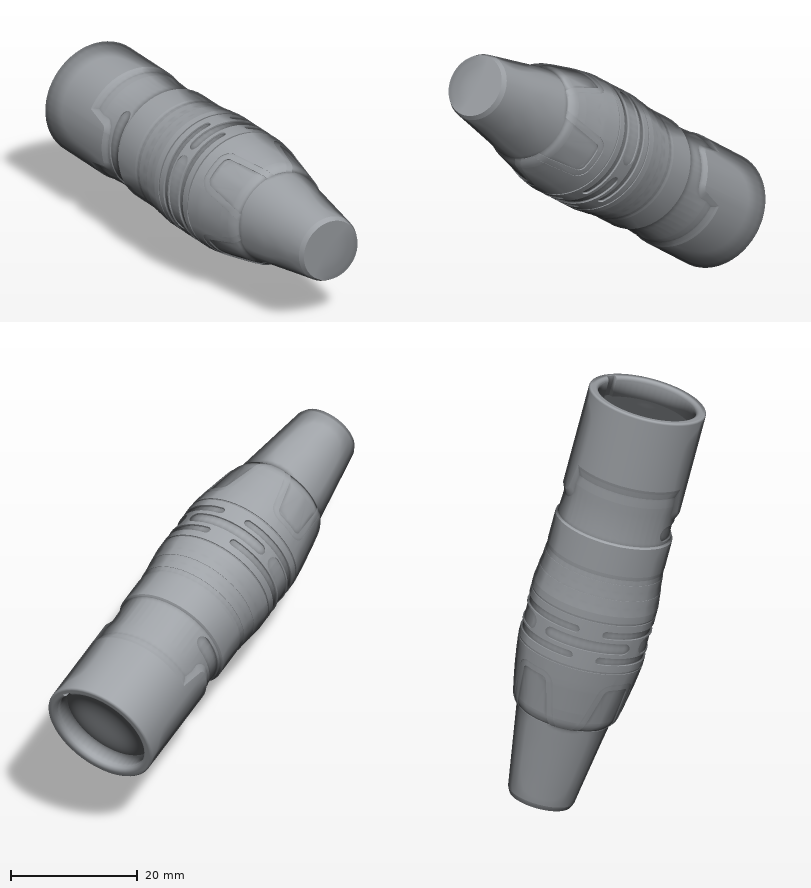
import cadquery as cq
import math


length = 69.65
cup_radius = 9.55
cup_end = 11.9
cup_end_round = 0.5
cup_end_drop = 0.15
cup_edge = 0.35
bore_radius = 8.0
bore_depth = 3.4
bore_round = 0.6
keyway_width = 1.8
keyway_radius = 8.65
keyway_angle = 45
tab_start = 8.35
tab_end = 18.05
tab_root_half_width = 6.2
tab_tip_half_width = 4.2
tab_corner_radius = 2.1
tab_flank_drop = 0.5
tab_flank_run = 1.1

waist_start = 13.4
waist_shoulder = 15.0
waist_shoulder_radius = 9.2
waist_middle_radius = 9.05
waist_end = 21.65

collar_start = 21.95
collar_straight_end = 26.8
collar_end = 27.45
collar_end_radius = 9.5
ring_starts = (28.3, 30.85)
ring_step = 0.1
first_ring_radius = 9.55
second_ring_radius = 9.8

band_middle = 39.1
band_radius = 10.2
band_half_length = 5.6
seam_offset = 4.05
seam_width = 0.35
seam_depth = 0.175

nose_middle = 48.05
nose_middle_radius = 9.55
nose_arc_end = 51.2
nose_arc_end_radius = 9.0
nose_end = 52.85
nose_end_radius = 8.65
ring_end = 54.6
ring_end_radius = 7.65
ring_bulge = 54.05
ring_bulge_radius = 8.15
boot_start_radius = 7.6
boot_end = 68.8
boot_end_radius = 5.4
boot_tip_radius = 5.0

slot_depth = 0.35
long_slot_offset = 2.2
long_slot_width = 1.25
long_slot_gap = 3.75
short_slot_width = 1.9
short_slot_length = 13.65
plate_length = 12.4
plate_rise = 0.4
band_plate_width = 2.65
waist_plate_middle = 19.9
waist_plate_width = 2.5
plate_depth = 0.2

window_count = 4
window_depth = 0.31
window_start = 46.45
window_front_half_width = 2.5
window_rear_half_width = 3.55
window_corner_radius = 1.05
rim_depth = 0.105
rim_width = 1.05

arc_middle = 1 - math.sqrt(0.5)

outside = 13.9


def revolve_about_axis(sketch):
    return sketch.close().revolve(360, (0, 0, 0), (1, 0, 0))


def cylinder(start, end, radius):
    return cq.Workplane("YZ", origin=(start, 0, 0)).circle(radius).extrude(end - start)


def turned_body():
    sketch = (
        cq.Workplane("XY")
        .moveTo(0, 0)
        .lineTo(0, cup_radius - cup_edge)
        .threePointArc(
            (cup_edge * arc_middle, cup_radius - cup_edge * arc_middle), (cup_edge, cup_radius)
        )
        .lineTo(cup_end, cup_radius)
        .lineTo(cup_end + cup_end_round, cup_radius - cup_end_drop)
        .lineTo(waist_start, waist_shoulder_radius)
        .lineTo(waist_shoulder, waist_shoulder_radius)
        .threePointArc(
            ((waist_shoulder + waist_end) / 2, waist_middle_radius), (waist_end, waist_shoulder_radius)
        )
        .lineTo(collar_start, cup_radius)
        .lineTo(collar_straight_end, cup_radius)
        .lineTo(collar_end, collar_end_radius)
        .lineTo(ring_starts[0], first_ring_radius)
        .lineTo(ring_starts[0], first_ring_radius + ring_step)
        .lineTo(ring_starts[1], second_ring_radius)
        .lineTo(ring_starts[1], second_ring_radius + ring_step)
        .lineTo(band_middle - band_half_length, band_radius)
        .lineTo(band_middle + seam_offset + seam_width, band_radius)
    )
    sketch = (
        sketch.threePointArc((nose_middle, nose_middle_radius), (nose_arc_end, nose_arc_end_radius))
        .lineTo(nose_end, nose_end_radius)
        .threePointArc((ring_bulge, ring_bulge_radius), (ring_end, ring_end_radius))
        .lineTo(ring_end, boot_start_radius)
        .lineTo(boot_end, boot_end_radius)
        .lineTo(length, boot_tip_radius)
        .lineTo(length, 0)
    )
    return revolve_about_axis(sketch)


def latch_tabs():
    """Two sloping-edged tabs that carry the cup surface back over the waist."""
    outline = (
        cq.Workplane("XZ")
        .polyline([
            (tab_start, -tab_root_half_width),
            (tab_end, -tab_tip_half_width),
            (tab_end, tab_tip_half_width),
            (tab_start, tab_root_half_width),
        ])
        .close()
        .extrude(outside)
        .edges("|Y and >X")
        .fillet(tab_corner_radius)
    )
    tab = outline.intersect(cylinder(cup_edge, waist_end, cup_radius))
    tab = tab.faces("<Y").edges("not(<X)").chamfer(tab_flank_drop, tab_flank_run)
    return tab.union(tab.mirror("XZ"))


def front_bore():
    mouth_radius = bore_radius + bore_round
    bore = revolve_about_axis(
        cq.Workplane("XY")
        .moveTo(0, 0)
        .lineTo(0, mouth_radius)
        .threePointArc(
            (bore_round * arc_middle, mouth_radius - bore_round * (1 - arc_middle)), (bore_round, bore_radius)
        )
        .lineTo(bore_depth, bore_radius)
        .lineTo(bore_depth, 0)
    )
    keyway = (
        cq.Workplane("XY")
        .box(bore_depth, keyway_radius, keyway_width, centered=(False, False, True))
        .rotate((0, 0, 0), (1, 0, 0), keyway_angle)
    )
    return bore.union(keyway)


def seam_groove(start):
    core = cylinder(start, start + seam_width, band_radius - seam_depth)
    return cylinder(start, start + seam_width, outside).cut(core)


def side_slot(middle, height, slot_length, width):
    """Round-ended prism reaching outward on the -Y side, long in Z."""
    return (
        cq.Workplane("XZ")
        .center(middle, height)
        .slot2D(slot_length, width, 90)
        .extrude(outside)
    )


def half_turn(body):
    return body.rotate((0, 0, 0), (1, 0, 0), 180)


def long_slots():
    """Slots that wrap around each side and stop short of the top and bottom."""
    end_centre = long_slot_gap / 2 + long_slot_width / 2
    slots = cq.Workplane("XY")
    for offset in (-long_slot_offset, long_slot_offset):
        middle = band_middle + offset
        band = cylinder(middle - long_slot_width / 2, middle + long_slot_width / 2, outside)
        bridge = (
            cq.Workplane("XY")
            .box(long_slot_width, 2 * end_centre, 2 * outside)
            .translate((middle, 0, 0))
        )
        ends = (
            cq.Workplane("XY", origin=(middle, 0, -outside))
            .pushPoints([(0, -end_centre), (0, end_centre)])
            .circle(long_slot_width / 2)
            .extrude(2 * outside)
        )
        slots = slots.add(band.cut(bridge).union(ends))
    return slots.combine()


def band_recesses():
    short_slot = side_slot(band_middle, 0, short_slot_length, short_slot_width)
    short_slot = short_slot.rotate((0, 0, 0), (1, 0, 0), 90)
    slot_core = cylinder(0, length, band_radius - slot_depth)
    slots = long_slots().union(short_slot).union(half_turn(short_slot)).cut(slot_core)
    plate = side_slot(band_middle, plate_rise, plate_length, band_plate_width)
    plates = plate.union(plate.mirror("XZ"))
    return slots.union(plates.cut(cylinder(0, length, band_radius - plate_depth)))


def waist_plate_recess():
    plate = side_slot(waist_plate_middle, plate_rise, plate_length, waist_plate_width)
    return plate.cut(cylinder(0, length, waist_middle_radius - plate_depth))


def nose_recess(border, depth):
    """Windows spaced around the nose, widened by border and sunk by depth."""
    front = window_start - border
    window = (
        cq.Workplane("XY")
        .polyline([
            (front, -window_front_half_width - border),
            (ring_end, -window_rear_half_width - border),
            (ring_end, window_rear_half_width + border),
            (front, window_front_half_width + border),
        ])
        .close()
        .extrude(outside)
        .edges("|Z and <X")
        .fillet(window_corner_radius + border)
    )
    core_start = band_middle + seam_offset
    core = revolve_about_axis(
        cq.Workplane("XY")
        .moveTo(core_start, 0)
        .lineTo(core_start, band_radius - depth)
        .threePointArc((nose_middle, nose_middle_radius - depth), (nose_end, nose_end_radius - depth))
        .threePointArc((ring_bulge, ring_bulge_radius - depth), (ring_end, ring_end_radius - depth))
        .lineTo(ring_end, 0)
    )
    window = window.cut(core)
    pitch = 360 / window_count
    windows = cq.Workplane("XY")
    for number in range(window_count):
        windows = windows.add(window.rotate((0, 0, 0), (1, 0, 0), (number + 0.5) * pitch))
    return windows.combine()


result = turned_body().union(latch_tabs()).cut(front_bore())
for start in (band_middle - seam_offset - seam_width, band_middle + seam_offset):
    result = result.cut(seam_groove(start))
result = result.cut(band_recesses()).cut(waist_plate_recess())
for border, depth in ((rim_width, rim_depth), (0, window_depth)):
    result = result.cut(nose_recess(border, depth))